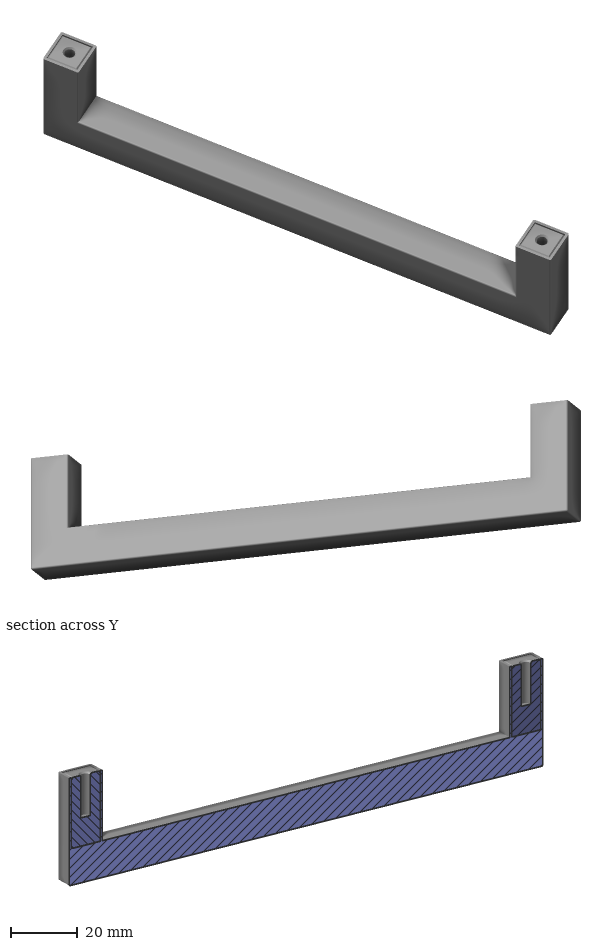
import cadquery as cq

LENGTH = 172.0
HEIGHT = 35.0
BAR = 12.0
EDGE_RADIUS = 0.5
LEG_HEIGHT = HEIGHT - BAR
LEG_X = (LENGTH - BAR) / 2
LEG_CENTRES = (-LEG_X, LEG_X)

WALL = 0.9
INSERT_SIDE = BAR - 2 * WALL
INSERT_LENGTH = LEG_HEIGHT
INSERT_CHAMFER = 0.5
HOLE_DIAMETER = 3.3
HOLE_DEPTH = 13.8
COUNTERSINK_DIAMETER = 4.3
COUNTERSINK_ANGLE = 90.0


def insert_block(x):
    """Square block reaching down from the end of the leg centred at x."""
    return (
        cq.Workplane("XY", origin=(x, 0, HEIGHT))
        .rect(INSERT_SIDE, INSERT_SIDE)
        .extrude(-INSERT_LENGTH)
    )


def bar_blank():
    """Sharp-edged U of square bar, with the legs pointing up."""
    opening = cq.Workplane("XY", origin=(0, 0, BAR)).box(
        LENGTH - 2 * BAR, BAR, LEG_HEIGHT, centered=(True, True, False)
    )
    return cq.Workplane("XY").box(LENGTH, BAR, HEIGHT, centered=(True, True, False)).cut(opening)


def make_handle():
    """Rounded U-shaped bar with a square socket in the end of each leg."""
    blank = bar_blank()
    side_edges = blank.faces("<Y or >Y").edges("not >Z")
    bottom_corners = blank.edges("|Y").edges("<Z")
    handle = blank.newObject(side_edges.vals() + bottom_corners.vals()).fillet(EDGE_RADIUS)
    for x in LEG_CENTRES:
        handle = handle.cut(insert_block(x))
    return handle


def make_insert(x):
    """Insert filling the socket at x, with a countersunk blind screw hole in its end face."""
    chamfered = insert_block(x).faces(">Z").chamfer(INSERT_CHAMFER)
    return (
        chamfered.faces(">Z")
        .workplane()
        .cskHole(HOLE_DIAMETER, COUNTERSINK_DIAMETER, COUNTERSINK_ANGLE, HOLE_DEPTH)
    )


handle = make_handle()
inserts = [make_insert(x) for x in LEG_CENTRES]

result = cq.Compound.makeCompound([handle.val(), *[insert.val() for insert in inserts]])